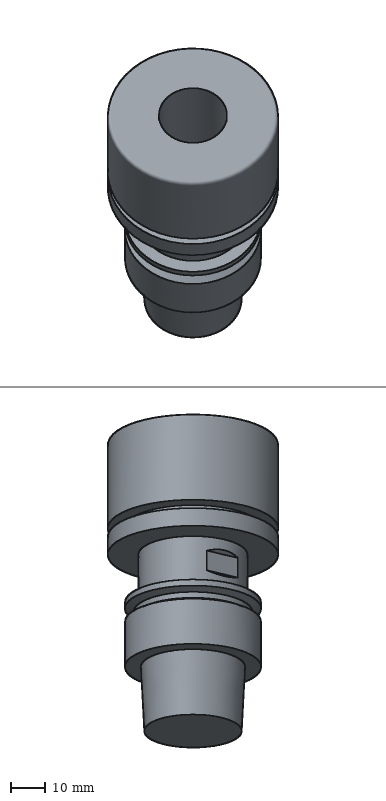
import cadquery as cq

total_height = 90.0
shank_top = 20.0
collar_edge = 34.0
groove_floor_bottom = 35.3
groove_floor_top = 37.1
flange_edge = 38.2
flange_top = 40.05
head_bottom = 55.0
head_groove_bottom = 60.5
head_groove_top = 63.1

shank_end_radius = 14.3
shank_top_radius = 15.3
collar_radius = 20.0
groove_radius = 17.5
neck_radius = 16.0
head_radius = 25.0
head_groove_radius = 20.3

head_edge_fillet = 1.0
bore_diameter = 20.0
bore_depth = 35.0

flat_distance = 15.0
flat_bottom = 44.55
flat_top = 50.7


def make_body():
    """Revolve the stepped outline about the Z axis."""
    return (
        cq.Workplane("XZ")
        .moveTo(0, 0)
        .lineTo(shank_end_radius, 0)
        .lineTo(shank_top_radius, shank_top)
        .lineTo(collar_radius, shank_top)
        .lineTo(collar_radius, collar_edge)
        .lineTo(groove_radius, groove_floor_bottom)
        .lineTo(groove_radius, groove_floor_top)
        .lineTo(collar_radius, flange_edge)
        .lineTo(collar_radius, flange_top)
        .lineTo(neck_radius, flange_top)
        .lineTo(neck_radius, head_bottom)
        .lineTo(head_radius, head_bottom)
        .lineTo(head_radius, head_groove_bottom)
        .lineTo(head_groove_radius, head_groove_bottom)
        .lineTo(head_groove_radius, head_groove_top)
        .lineTo(head_radius, head_groove_top)
        .lineTo(head_radius, total_height)
        .lineTo(0, total_height)
        .close()
        .revolve(360, (0, 0), (0, 1))
    )


def flat_cutter(side):
    """Prism that cuts one flat; side is -1 or 1 along X."""
    flare = neck_radius - flat_distance
    return (
        cq.Workplane("XZ")
        .moveTo(side * flat_distance, flat_bottom)
        .lineTo(side * neck_radius, flat_bottom - flare)
        .lineTo(side * neck_radius, flat_top + flare)
        .lineTo(side * flat_distance, flat_top)
        .close()
        .extrude(neck_radius, both=True)
    )


body = make_body().faces(">Z").edges().fillet(head_edge_fillet)
for side in (-1, 1):
    body = body.cut(flat_cutter(side))

result = body.faces(">Z").workplane().hole(bore_diameter, bore_depth)